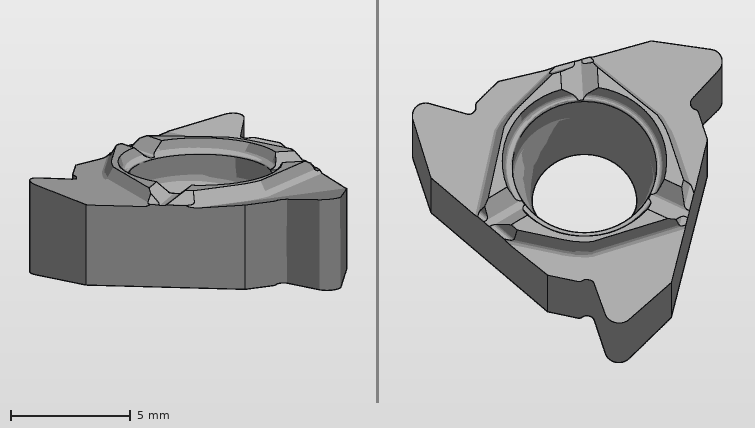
import math

import cadquery as cq

LOBE_SPACING = 120
LOBE_TURNS = [-LOBE_SPACING * i for i in range(3)]

side_angle = 60.0
side_distance = 4.75
tooth_apex_x = -2.95
tooth_apex_y = 7.5
tooth_tip_radius = 0.6
flank_slope = math.tan(math.radians(60.0))
root_y = 5.08
land_y = 5.28
root_radius = 0.26
step_bottom_x = -1.23
step_round = 0.24

floor_z = 3.51
top_z = 4.1
ledge_z = 3.6

crease_y = 4.29
tooth_rise = math.tan(math.radians(10.5))
crease_half_width = 0.04

nose_radius = 3.72
rear_wall_distance = 3.62
rear_wall_angle = 121.7
wall_draft = 30.0
wall_foot_radius = 0.33
corner_distance = 4.53
corner_foot_radius = 0.18

groove_angle = 166.2
groove_floor_z = 3.58
groove_wall_angle = 40.0
groove_round = 0.29
groove_flat_width = 0.08
groove_inner_radius = 1.98

throat_radius = 2.19
throat_z = 0.26
seat_radius = 2.89
seat_z = 2.25
bore_radius = 3.02
lip_z = 3.59
lip_round = 0.08
recess_radius = 3.45
recess_foot_radius = 3.3
recess_foot_z = 3.74

beyond = 2.64
top_margin = 0.13
pick_margin = 0.01


def turned(shape, angle):
    """Turn a shape about the bore axis."""
    return shape.rotate((0, 0, 0), (0, 0, 1), angle)


def turned_point(x, y, angle):
    c = math.cos(math.radians(angle))
    s = math.sin(math.radians(angle))
    return (x * c - y * s, x * s + y * c)


def on_line_y(normal_angle, distance, y):
    """Point at height y on the line at a distance from the axis, facing normal_angle."""
    a = math.radians(normal_angle)
    return ((distance - y * math.sin(a)) / math.cos(a), y)


def make_outline(height):
    """Plan outline extruded from the bottom face."""
    flank_foot = (-side_distance, tooth_apex_y - flank_slope * (tooth_apex_x + side_distance))
    apex = (tooth_apex_x, tooth_apex_y)
    root = (tooth_apex_x + (tooth_apex_y - root_y) / flank_slope, root_y)
    step_bottom = (step_bottom_x, root_y)
    step_top = (step_bottom_x + land_y - root_y, land_y)
    land_end = on_line_y(side_angle, side_distance, land_y)
    lobe = [flank_foot, apex, root, step_bottom, step_top, land_end]
    rounded_corners = [
        (apex, tooth_tip_radius),
        (root, root_radius),
        (step_bottom, step_round),
        (step_top, step_round),
    ]

    points = [turned_point(*p, turn) for turn in LOBE_TURNS for p in lobe]
    body = cq.Workplane("XY").polyline(points).close().extrude(height)
    for corner, radius in rounded_corners:
        for turn in LOBE_TURNS:
            x, y = turned_point(*corner, turn)
            edge = cq.selectors.NearestToPointSelector((x, y, height / 2))
            body = body.edges("|Z").edges(edge).fillet(radius)
    return body


def make_tooth_wedge():
    """Block whose top climbs from the crease towards the tooth tip of lobe 0."""
    start_y = crease_y - crease_half_width
    blend_y = crease_y + crease_half_width
    end_y = tooth_apex_y
    return (
        cq.Workplane("YZ", origin=(-side_distance - beyond, 0, 0))
        .moveTo(start_y, 0)
        .lineTo(end_y, 0)
        .lineTo(end_y, floor_z + (end_y - crease_y) * tooth_rise)
        .lineTo(blend_y, floor_z + crease_half_width * tooth_rise)
        .tangentArcPoint((start_y, floor_z), relative=False)
        .close()
        .extrude(2 * (side_distance + beyond))
    )


def make_chip_breaker(outline):
    """Drafted rim around the bore with a filleted foot, trimmed to the outline."""
    rear = math.radians(rear_wall_angle)
    nose_start = rear - math.acos(rear_wall_distance / nose_radius)
    nose_middle = (nose_start + math.pi / 2) / 2
    nose_points = [
        (nose_radius * math.cos(a), nose_radius * math.sin(a))
        for a in (nose_start, nose_middle, math.pi / 2)
    ]
    corner = on_line_y(rear_wall_angle - LOBE_SPACING, rear_wall_distance, nose_radius)

    rim = cq.Workplane("XY", origin=(0, 0, top_z)).moveTo(*nose_points[0])
    for turn in LOBE_TURNS:
        middle, end = [turned_point(*p, turn) for p in nose_points[1:]]
        next_start = turned_point(*nose_points[0], turn - LOBE_SPACING)
        rim = rim.threePointArc(middle, end).lineTo(*turned_point(*corner, turn))
        if turn != LOBE_TURNS[-1]:
            rim = rim.lineTo(*next_start)
    rim = rim.close().extrude(-(top_z - floor_z), taper=-wall_draft)

    base = cq.Workplane("XY").circle(side_distance + beyond).extrude(floor_z)
    rim = base.union(rim)
    floor_zone = cq.selectors.BoxSelector(
        (-beyond, -beyond, floor_z - pick_margin),
        (beyond, beyond, floor_z + pick_margin),
    )
    floor = rim.faces(floor_zone).val()
    rim = rim.newObject(floor.innerWires()[0].Edges()).fillet(wall_foot_radius)
    return rim.intersect(outline)


def make_corner_cutter():
    """Cutter for the sloping facet and low ledge along the -X side."""
    lean = math.tan(math.radians(wall_draft))
    height = top_z - ledge_z + top_margin
    foot = cq.selectors.NearestToPointSelector((-corner_distance, 0, ledge_z))
    return (
        cq.Workplane("XZ", origin=(0, side_distance, 0))
        .moveTo(-corner_distance, ledge_z)
        .lineTo(-corner_distance + height * lean, ledge_z + height)
        .lineTo(-side_distance - beyond, ledge_z + height)
        .lineTo(-side_distance - beyond, ledge_z)
        .close()
        .extrude(2 * side_distance)
        .edges(foot)
        .fillet(corner_foot_radius)
    )


def make_groove_cutter():
    """V with a narrow flat and rounded corners at the bottom, running outwards along +X."""
    wall = math.radians(groove_wall_angle)
    half_flat = groove_flat_width / 2
    half_floor = half_flat + groove_round * math.sin(wall)
    wall_start_z = groove_floor_z + groove_round * (1 - math.cos(wall))
    height = top_z - wall_start_z + top_margin
    half_top = half_floor + height / math.tan(wall)
    return (
        cq.Workplane("YZ", origin=(groove_inner_radius, 0, 0))
        .moveTo(-half_top, wall_start_z + height)
        .lineTo(-half_floor, wall_start_z)
        .tangentArcPoint((-half_flat, groove_floor_z), relative=False)
        .lineTo(half_flat, groove_floor_z)
        .tangentArcPoint((half_floor, wall_start_z), relative=False)
        .lineTo(half_top, wall_start_z + height)
        .close()
        .extrude(side_distance + beyond)
    )


def make_bore():
    """Throat, rounded screw seat, straight bore and flared recess at the top."""
    seat_slope = (seat_z - throat_z) / (seat_radius - throat_radius)
    bore_foot_z = seat_z + (bore_radius - seat_radius) * seat_slope
    return (
        cq.Workplane("XZ")
        .moveTo(0, top_z)
        .lineTo(recess_radius, top_z)
        .lineTo(recess_foot_radius, recess_foot_z)
        .tangentArcPoint((bore_radius + lip_round, lip_z), relative=False)
        .radiusArc((bore_radius, lip_z - lip_round), -lip_round)
        .lineTo(bore_radius, bore_foot_z)
        .tangentArcPoint((seat_radius, seat_z), relative=False)
        .tangentArcPoint((throat_radius, throat_z), relative=False)
        .lineTo(throat_radius, 0)
        .lineTo(0, 0)
        .close()
        .revolve(360, (0, 0, 0), (0, 1, 0))
    )


outline = make_outline(top_z)
chip_breaker = make_chip_breaker(outline)
for turn in LOBE_TURNS:
    chip_breaker = chip_breaker.cut(turned(make_corner_cutter(), turn))
    chip_breaker = chip_breaker.cut(turned(make_groove_cutter(), groove_angle + turn))

result = chip_breaker
for turn in LOBE_TURNS:
    result = result.union(turned(make_tooth_wedge(), turn).intersect(outline))
result = result.cut(make_bore())